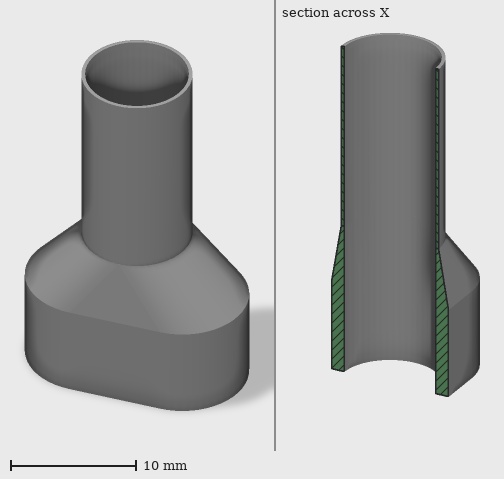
import cadquery as cq

total_height = 29.0
tube_length = 16.0
tube_outer_diameter = 8.9
bore_diameter = 8.3
collar_width = 18.4
collar_depth = 10.7
collar_straight_height = 7.75

collar_height = total_height - tube_length
tube_radius = tube_outer_diameter / 2
bore_radius = bore_diameter / 2
collar_end_radius = collar_depth / 2
flat_half_length = collar_width / 2 - collar_end_radius


def half_circle(radius, center_x, z, side):
    """Arc bulging towards +X (side = 1) or -X (side = -1), running from -Y to +Y."""
    return cq.Edge.makeThreePointArc(
        cq.Vector(center_x, -radius, z),
        cq.Vector(center_x + side * radius, 0, z),
        cq.Vector(center_x, radius, z),
    )


def flat_corners(side):
    """Upper corners of the flat collar side at +Y (side = 1) or -Y (side = -1)."""
    return [
        cq.Vector(end * flat_half_length, side * collar_end_radius, collar_straight_height)
        for end in (-1, 1)
    ]


def taper_end_faces():
    """Slanted half cones joining the round collar ends to the tube circle."""
    faces = []
    for side in (1, -1):
        lower_arc = half_circle(collar_end_radius, side * flat_half_length, collar_straight_height, side)
        upper_arc = half_circle(tube_radius, 0, collar_height, side)
        faces.append(cq.Face.makeRuledSurface(lower_arc, upper_arc))
    return faces


def taper_flank_faces():
    """Flat triangles rising from the long collar sides to a point on the tube circle."""
    faces = []
    for side in (1, -1):
        apex = cq.Vector(0, side * tube_radius, collar_height)
        outline = cq.Wire.makePolygon([*flat_corners(side), apex], close=True)
        faces.append(cq.Face.makeFromWires(outline))
    return faces


def taper_cap_faces():
    """Obround bottom and round top that close the taper."""
    lower_edges = [
        half_circle(collar_end_radius, side * flat_half_length, collar_straight_height, side)
        for side in (1, -1)
    ]
    for side in (1, -1):
        lower_edges.append(cq.Edge.makeLine(*flat_corners(side)))
    upper_edges = [half_circle(tube_radius, 0, collar_height, side) for side in (1, -1)]
    return [
        cq.Face.makeFromWires(cq.Wire.combine(edges)[0])
        for edges in (lower_edges, upper_edges)
    ]


def make_collar():
    """Obround collar that tapers up to the tube diameter, with the bore through it."""
    base = cq.Workplane("XY").slot2D(collar_width, collar_depth).extrude(collar_straight_height)
    taper_faces = taper_end_faces() + taper_flank_faces() + taper_cap_faces()
    taper = cq.Solid.makeSolid(cq.Shell.makeShell(taper_faces)).fix()
    bore = cq.Workplane("XY").circle(bore_radius).extrude(collar_height)
    return base.union(cq.Workplane(taper)).cut(bore).solids()


def make_tube():
    """Thin-walled tube standing on the collar."""
    foot = cq.Workplane("XY", origin=(0, 0, collar_height))
    return foot.circle(tube_radius).circle(bore_radius).extrude(tube_length)


collar = make_collar()
tube = make_tube()

result = cq.Compound.makeCompound([collar.val(), tube.val()])